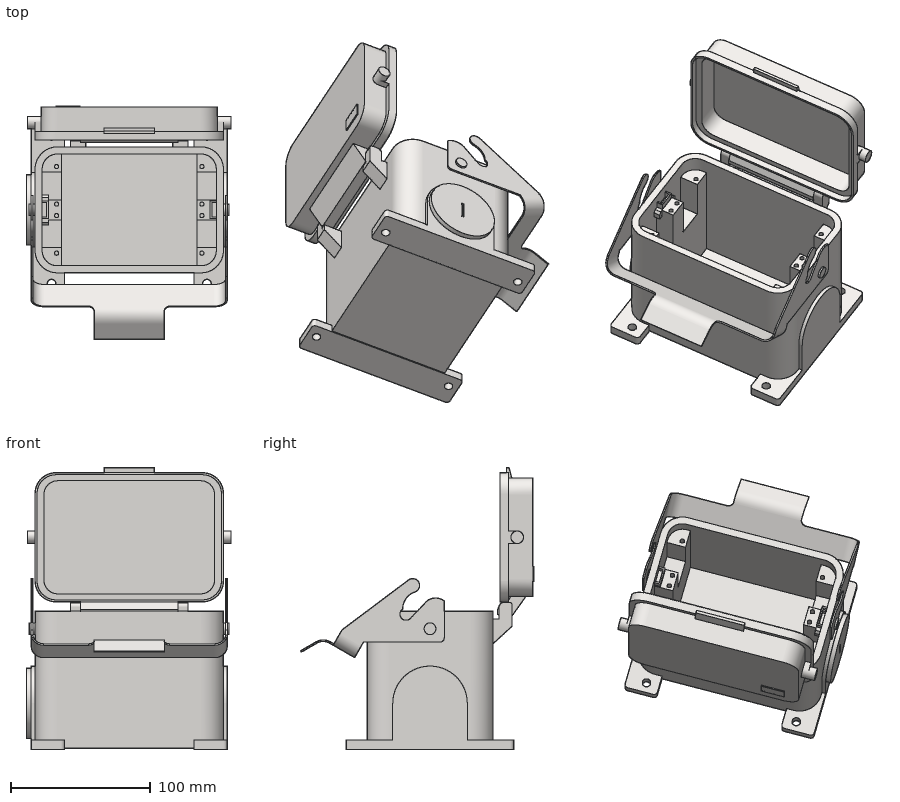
import cadquery as cq
import math

BODY_X = 134.9
BODY_Y = 90.2
BODY_CORNER = 16.0
BODY_BOTTOM = 1.0
BODY_TOP = 99.3
WALL = 5.1
FLOOR = 5.0

FEET_SPAN = 140.4
FOOT_WIDTH = 24.0
FOOT_LENGTH = 120.0
FOOT_HEIGHT = 7.0
FOOT_CORNER = 2.5
MOUNT_HOLE = 6.0
MOUNT_HOLE_X = 55.6
MOUNT_HOLE_Y = 52.8

ENTRY_Z = 33.2
ENTRY_RADIUS = 26.7
PLUG_RADIUS = 25.3
PLUG_FACE_X = -73.6
SLOT_WIDTH = 1.6
SLOT_LENGTH = 13.6
SLOT_DEPTH = 1.5

LEDGE_INNER_X = 48.5
LEDGE_TOP = 55.6
POST_TOP = 87.2
END_POST_INNER_Y = 27.0
MIDDLE_POST_Y = 14.2
POST_HOLE = 3.0
POST_HOLE_DEPTH = 10.0
POST_HOLE_X = 52.0
POST_HOLE_YS = (-31.0, -4.1, 4.1, 31.0)
CLIP_Y = 12.6
CLIP_DEPTH = 4.4
CLIP_HEIGHT = 5.0
CLIP_SHEET = 1.2
LUG_LENGTH = 21.4
LUG_DEPTH = 4.7
LUG_HEIGHT = 6.0
LUG_CHAMFER = 1.8

PIVOT_Z = 86.6
PIVOT_RADIUS = 4.2
PIVOT_HALF_SPAN = 71.6
LEVER_SPAN = 140.4
LEVER_SHEET = 1.2
LEVER_TILT = math.radians(30)
ARM_BOTTOM_Z = 77.0
ARM_BACK_Y = 10.2
ARM_CORNER = 3.2
BAR_LOW_Y = -54.0
BAR_LOW_Z = 65.9
BAR_WIDTH = 17.8
BAR_BEND = 9.2
BAR_SIDE = 12.8
TAB_WIDTH = 50.4
TAB_FLAT = 3.0
TAB_FLARE = 4.6
TAB_BEND = 8.9
TAB_TIP_Y = -92.75

CHEEK_RADIUS = 10.0
CHEEK_CENTRE = (4.0, 98.7)
CHEEK_START = math.degrees(math.acos((ARM_BACK_Y - CHEEK_CENTRE[0]) / CHEEK_RADIUS))
LOCK_RADIUS = 4.3
LOCK_CENTRE = (-17.2, 97.0)
LOCK_START = -43
LOCK_END = -238
LOCK_FLANK_MIDDLE = (-17.4, 107.8)
HOOK_RADIUS = 5.0
HOOK_CENTRE = (-12.4, 117.6)
HOOK_START = -70
HOOK_END = 127

FLANGE_X = 135.0
FLANGE_BOTTOM = 105.8
FLANGE_TOP = 198.4
FLANGE_FRONT = 50.0
FLANGE_BACK = 56.2
FLANGE_CORNER = 15.0
FLANGE_WALL = 1.5
RECESS_DEPTH = 4.8
COVER_X = 126.2
COVER_Z = 85.0
COVER_BACK = 73.65
COVER_CORNER = 12.0
COVER_WALL = 2.0
LID_PIN_Y = 62.4
LID_PIN_Z = 152.1
LID_PIN_RADIUS = 4.5
LID_PIN_HALF_SPAN = 72.9
RIB_WIDTH = 36.0
LID_TOP = 202.01
PLATE_BACK = 74.45
PLATE_LEFT = -52.6
PLATE_RIGHT = -35.4
PLATE_BOTTOM = 120.6
PLATE_TOP = 131.3

RIB_PROFILE = ((54.6, 197.6), (54.6, LID_TOP), (56.6, LID_TOP), (58.6, 194.6), (58.6, 193.6), (54.6, 193.6))

HINGE_OUTER_X = 42.2
HINGE_KNUCKLE_X = 35.0
HINGE_SHELF_X = 31.0
HINGE_SHELF_Z = 93.6
HINGE_FRONT = 49.3
HINGE_BACK = 58.8
KNUCKLE_PROFILE = (
    (51.5, 106.4),
    (48.2, 100.3),
    (48.2, 97.0),
    (51.0, 95.4),
    (58.5, 95.4),
    (68.8, 109.9),
    (57.5, 109.9),
    (56.0, 106.4),
)
ARM_TOP = 105.4
ARM_BACK_CORNER = 1.8
ARM_FRONT_CORNER = 3.5
ARM_SLOPE_TOP = 88.4
ARM_ROOT_Z = 73.5

cavity_x = BODY_X - 2 * WALL
cavity_y = BODY_Y - 2 * WALL
foot_side = FEET_SPAN / 2
lid_centre_z = (FLANGE_BOTTOM + FLANGE_TOP) / 2
flange_z = FLANGE_TOP - FLANGE_BOTTOM


def box(x0, x1, y0, y1, z0, z1):
    """Box given by its limits along each axis."""
    return cq.Workplane("XY").box(x1 - x0, y1 - y0, z1 - z0, centered=False).translate((x0, y0, z0))


def cylinder_x(x0, x1, y, z, radius):
    """Cylinder along X between x0 and x1."""
    return cq.Workplane("YZ", origin=(x0, y, z)).circle(radius).extrude(x1 - x0)


def profile_x(points, x0, x1):
    """Polygon of (y, z) points extruded from x0 to x1."""
    return cq.Workplane("YZ", origin=(x0, 0, 0)).polyline(points).close().extrude(x1 - x0)


def rounded_upright(x_size, z_size, corner, y0, y1):
    """Upright rounded rectangle, centred on the lid, from y0 to y1."""
    blank = box(-x_size / 2, x_size / 2, y0, y1, lid_centre_z - z_size / 2, lid_centre_z + z_size / 2)
    return blank.edges("|Y").fillet(corner)


def on_circle(centre, radius, degrees):
    """Point at the given angle on a circle."""
    angle = math.radians(degrees)
    return (centre[0] + radius * math.cos(angle), centre[1] + radius * math.sin(angle))


def mirrored(half):
    """A shape together with its mirror image across the YZ plane."""
    return half.union(half.mirror("YZ"))


def make_feet():
    foot = box(foot_side - FOOT_WIDTH, foot_side, -FOOT_LENGTH / 2, FOOT_LENGTH / 2, 0, FOOT_HEIGHT)
    foot = foot.edges("|Z").fillet(FOOT_CORNER)
    holes = (
        cq.Workplane("XY")
        .pushPoints([(MOUNT_HOLE_X, -MOUNT_HOLE_Y), (MOUNT_HOLE_X, MOUNT_HOLE_Y)])
        .circle(MOUNT_HOLE / 2)
        .extrude(FOOT_HEIGHT)
    )
    return mirrored(foot.cut(holes))


def make_entry_bosses():
    start = BODY_X / 2 - WALL / 2
    arch = cylinder_x(start, foot_side, 0, ENTRY_Z, ENTRY_RADIUS)
    base = box(start, foot_side, -ENTRY_RADIUS, ENTRY_RADIUS, BODY_BOTTOM, ENTRY_Z)
    return mirrored(arch.union(base))


def make_plug():
    plug = cylinder_x(PLUG_FACE_X, -foot_side, 0, ENTRY_Z, PLUG_RADIUS)
    half_length = SLOT_LENGTH / 2
    slot = box(
        PLUG_FACE_X,
        PLUG_FACE_X + SLOT_DEPTH,
        -SLOT_WIDTH / 2,
        SLOT_WIDTH / 2,
        ENTRY_Z - half_length,
        ENTRY_Z + half_length,
    )
    return plug.cut(slot)


def make_insert_supports():
    """Ledge and three screw posts along each short wall, trimmed to the cavity outline."""
    outer_x = BODY_X / 2
    outer_y = BODY_Y / 2
    middle = MIDDLE_POST_Y / 2
    side = box(LEDGE_INNER_X, outer_x, -outer_y, outer_y, BODY_BOTTOM, LEDGE_TOP)
    for y0, y1 in ((-outer_y, -END_POST_INNER_Y), (-middle, middle), (END_POST_INNER_Y, outer_y)):
        side = side.union(box(LEDGE_INNER_X, outer_x, y0, y1, LEDGE_TOP, POST_TOP))
    holes = (
        cq.Workplane("XY", origin=(0, 0, POST_TOP - POST_HOLE_DEPTH))
        .pushPoints([(POST_HOLE_X, y) for y in POST_HOLE_YS])
        .circle(POST_HOLE / 2)
        .extrude(POST_HOLE_DEPTH)
    )
    return mirrored(side.cut(holes))


def make_clips():
    """U-shaped sheet clip on top of each middle post, open towards the wall."""
    wall_x = cavity_x / 2
    front = wall_x - CLIP_DEPTH
    half = CLIP_Y / 2
    clip = box(front, wall_x, -half, half, POST_TOP, POST_TOP + CLIP_HEIGHT)
    hollow_half = half - CLIP_SHEET
    hollow = box(front + CLIP_SHEET, wall_x, -hollow_half, hollow_half, POST_TOP, POST_TOP + CLIP_HEIGHT)
    return mirrored(clip.cut(hollow))


def make_lug():
    """Chamfered lug on the inner face of the -X wall, behind the clip."""
    wall_x = -cavity_x / 2
    half = LUG_LENGTH / 2
    lug = box(wall_x, wall_x + LUG_DEPTH, -half, half, POST_TOP - LUG_HEIGHT, POST_TOP)
    return lug.edges("|X and >Z").chamfer(LUG_CHAMFER)


def make_body():
    shell = (
        cq.Workplane("XY", origin=(0, 0, BODY_BOTTOM))
        .rect(BODY_X, BODY_Y)
        .extrude(BODY_TOP - BODY_BOTTOM)
        .edges("|Z")
        .fillet(BODY_CORNER)
    )
    cavity = (
        cq.Workplane("XY", origin=(0, 0, BODY_BOTTOM + FLOOR))
        .rect(cavity_x, cavity_y)
        .extrude(BODY_TOP - BODY_BOTTOM - FLOOR)
        .edges("|Z")
        .fillet(BODY_CORNER - WALL)
    )
    supports = make_insert_supports().intersect(shell)
    body = shell.union(make_feet()).union(make_entry_bosses()).cut(cavity)
    return body.union(supports).union(make_clips()).union(make_lug()).union(make_plug())


def along_bar(distance, offset=0.0):
    """(y, z) of a point on the crossbar's outer face line, offset back towards the body."""
    y = BAR_LOW_Y - distance * math.cos(LEVER_TILT) + offset * math.sin(LEVER_TILT)
    z = BAR_LOW_Z + distance * math.sin(LEVER_TILT) + offset * math.cos(LEVER_TILT)
    return (y, z)


def make_lever_arm():
    """Flat side arm: a rounded cheek at the back, the locking slot, then the hook over the slot."""
    inner = LEVER_SPAN / 2 - LEVER_SHEET
    return (
        cq.Workplane("YZ", origin=(inner, 0, 0))
        .moveTo(*along_bar(0, BAR_SIDE))
        .lineTo(ARM_BACK_Y - ARM_CORNER, ARM_BOTTOM_Z)
        .radiusArc((ARM_BACK_Y, ARM_BOTTOM_Z + ARM_CORNER), -ARM_CORNER)
        .lineTo(*on_circle(CHEEK_CENTRE, CHEEK_RADIUS, CHEEK_START))
        .threePointArc(
            on_circle(CHEEK_CENTRE, CHEEK_RADIUS, 90),
            on_circle(CHEEK_CENTRE, CHEEK_RADIUS, 180 - CHEEK_START),
        )
        .lineTo(*on_circle(LOCK_CENTRE, LOCK_RADIUS, LOCK_START))
        .threePointArc(
            on_circle(LOCK_CENTRE, LOCK_RADIUS, (LOCK_START + LOCK_END) / 2),
            on_circle(LOCK_CENTRE, LOCK_RADIUS, LOCK_END),
        )
        .threePointArc(LOCK_FLANK_MIDDLE, on_circle(HOOK_CENTRE, HOOK_RADIUS, HOOK_START))
        .threePointArc(
            on_circle(HOOK_CENTRE, HOOK_RADIUS, (HOOK_START + HOOK_END) / 2),
            on_circle(HOOK_CENTRE, HOOK_RADIUS, HOOK_END),
        )
        .lineTo(*along_bar(BAR_WIDTH, BAR_SIDE))
        .lineTo(*along_bar(BAR_WIDTH, BAR_BEND))
        .lineTo(*along_bar(0, BAR_BEND))
        .close()
        .extrude(LEVER_SHEET)
    )


def make_crossbar():
    """Front bar bent round at both ends into the side arms, with its width sloping up and forwards."""
    slanted = (0, -math.cos(LEVER_TILT), math.sin(LEVER_TILT))
    section = cq.Plane(origin=(0, BAR_LOW_Y, BAR_LOW_Z), xDir=(1, 0, 0), normal=slanted)
    inner_span = LEVER_SPAN - 2 * LEVER_SHEET
    inner_bend = BAR_BEND - LEVER_SHEET
    return (
        cq.Workplane(section)
        .moveTo(-LEVER_SPAN / 2, BAR_BEND)
        .radiusArc((BAR_BEND - LEVER_SPAN / 2, 0), -BAR_BEND)
        .lineTo(LEVER_SPAN / 2 - BAR_BEND, 0)
        .radiusArc((LEVER_SPAN / 2, BAR_BEND), -BAR_BEND)
        .lineTo(inner_span / 2, BAR_BEND)
        .radiusArc((inner_span / 2 - inner_bend, LEVER_SHEET), inner_bend)
        .lineTo(inner_bend - inner_span / 2, LEVER_SHEET)
        .radiusArc((-inner_span / 2, BAR_BEND), inner_bend)
        .close()
        .extrude(BAR_WIDTH)
    )


def make_tab_root():
    """Flat start of the finger tab, flared where it leaves the crossbar."""
    half = TAB_WIDTH / 2
    y, z = along_bar(BAR_WIDTH)
    sheet_normal = (0, math.sin(LEVER_TILT), math.cos(LEVER_TILT))
    return (
        cq.Workplane(cq.Plane(origin=(0, y, z), xDir=(1, 0, 0), normal=sheet_normal))
        .moveTo(-half - TAB_FLARE, 0)
        .radiusArc((-half, -TAB_FLAT), TAB_FLARE)
        .lineTo(half, -TAB_FLAT)
        .radiusArc((half + TAB_FLARE, 0), TAB_FLARE)
        .close()
        .extrude(LEVER_SHEET)
    )


def make_tab_grip():
    """Finger tab: bends over symmetrically, then slopes down to its tip."""
    y0, z0 = along_bar(BAR_WIDTH + TAB_FLAT)
    sine = math.sin(LEVER_TILT)
    cosine = math.cos(LEVER_TILT)
    outer_bend = TAB_BEND + LEVER_SHEET
    centre_y = y0 - TAB_BEND * sine
    centre_z = z0 - TAB_BEND * cosine
    bend_end = (centre_y - TAB_BEND * sine, z0)
    outer_start = (centre_y + outer_bend * sine, centre_z + outer_bend * cosine)
    outer_end = (centre_y - outer_bend * sine, centre_z + outer_bend * cosine)
    outer_tip = (TAB_TIP_Y, outer_end[1] - (outer_end[0] - TAB_TIP_Y) * math.tan(LEVER_TILT))
    inner_tip = (outer_tip[0] + LEVER_SHEET * sine, outer_tip[1] - LEVER_SHEET * cosine)
    return (
        cq.Workplane("YZ", origin=(-TAB_WIDTH / 2, 0, 0))
        .moveTo(y0, z0)
        .threePointArc((centre_y, centre_z + TAB_BEND), bend_end)
        .lineTo(*inner_tip)
        .lineTo(*outer_tip)
        .lineTo(*outer_end)
        .threePointArc((centre_y, centre_z + outer_bend), outer_start)
        .close()
        .extrude(TAB_WIDTH)
    )


def make_lever():
    arms = mirrored(make_lever_arm())
    pivots = mirrored(cylinder_x(BODY_X / 2 - WALL / 2, PIVOT_HALF_SPAN, 0, PIVOT_Z, PIVOT_RADIUS))
    return arms.union(make_crossbar()).union(make_tab_root()).union(make_tab_grip()).union(pivots)


def make_lid_pins():
    """Locking pins, each joined to the flange by a flat web."""
    start = COVER_X / 2 - COVER_WALL / 2
    pin = cylinder_x(start, LID_PIN_HALF_SPAN, LID_PIN_Y, LID_PIN_Z, LID_PIN_RADIUS)
    web_low = LID_PIN_Z - LID_PIN_RADIUS
    web_high = LID_PIN_Z + LID_PIN_RADIUS
    web_front = FLANGE_BACK - FLANGE_WALL
    web = box(start, FLANGE_X / 2, web_front, LID_PIN_Y, web_low, web_high)
    return mirrored(pin.union(web))


def make_lid():
    flange = rounded_upright(FLANGE_X, flange_z, FLANGE_CORNER, FLANGE_FRONT, FLANGE_BACK)
    cover = rounded_upright(COVER_X, COVER_Z, COVER_CORNER, FLANGE_FRONT, COVER_BACK)
    recess = rounded_upright(
        FLANGE_X - 2 * FLANGE_WALL,
        flange_z - 2 * FLANGE_WALL,
        FLANGE_CORNER - FLANGE_WALL,
        FLANGE_FRONT,
        FLANGE_FRONT + RECESS_DEPTH,
    )
    cavity = rounded_upright(
        COVER_X - 2 * COVER_WALL,
        COVER_Z - 2 * COVER_WALL,
        COVER_CORNER - COVER_WALL,
        FLANGE_FRONT,
        COVER_BACK - COVER_WALL,
    )
    rib = profile_x(RIB_PROFILE, -RIB_WIDTH / 2, RIB_WIDTH / 2)
    plate = box(PLATE_LEFT, PLATE_RIGHT, COVER_BACK, PLATE_BACK, PLATE_BOTTOM, PLATE_TOP)
    return flange.union(cover).union(make_lid_pins()).union(rib).cut(recess).cut(cavity).union(plate)


def make_hinge_arm():
    """Bracket on the body beside the lid knuckle, with a low shelf reaching further inwards."""
    wall_y = BODY_Y / 2 - WALL / 2
    arm = profile_x(
        [
            (HINGE_FRONT, HINGE_SHELF_Z),
            (HINGE_FRONT, ARM_TOP),
            (HINGE_BACK, ARM_TOP),
            (HINGE_BACK, HINGE_SHELF_Z),
        ],
        HINGE_KNUCKLE_X,
        HINGE_OUTER_X,
    )
    arm = arm.edges("|X and >Z and >Y").fillet(ARM_BACK_CORNER)
    arm = arm.edges("|X and >Z and <Y").fillet(ARM_FRONT_CORNER)
    shelf = profile_x(
        [
            (wall_y, HINGE_SHELF_Z),
            (HINGE_BACK, HINGE_SHELF_Z),
            (HINGE_BACK, ARM_SLOPE_TOP),
            (wall_y, ARM_ROOT_Z),
        ],
        HINGE_SHELF_X,
        HINGE_OUTER_X,
    )
    return arm.union(shelf)


def make_knuckle():
    """Lid side of the hinge: a wedge under the lid filling the gap between the two brackets."""
    return profile_x(KNUCKLE_PROFILE, -HINGE_KNUCKLE_X, HINGE_KNUCKLE_X)


def make_hinge():
    return mirrored(make_hinge_arm()).union(make_knuckle())


result = make_body().union(make_lever()).union(make_lid()).union(make_hinge())